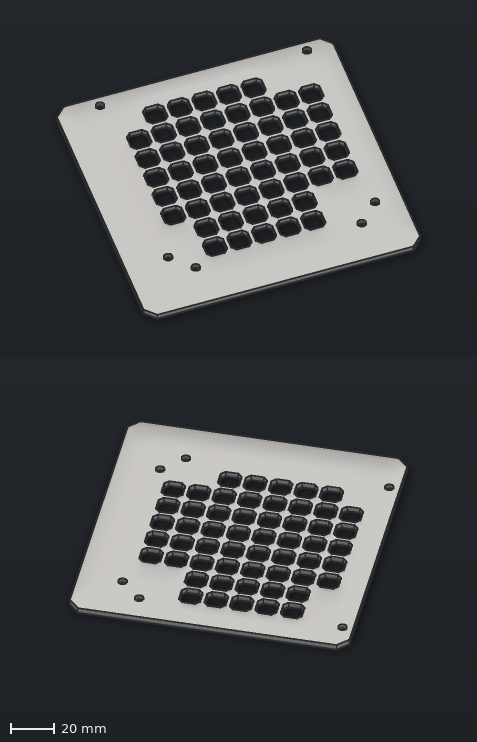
import cadquery as cq

width = 132.0
length = 135.0
thickness = 3.0
corner_chamfer = 5.0

window_size = 10.0
window_corner_chamfer = 2.0
cells_per_side = 8
grid_span = 84.0
pitch = grid_span / (cells_per_side - 1)
grid_center_x = -pitch / 2
grid_center_y = pitch / 2
full_rows = range(1, 6)
short_row_columns = range(1, 6)

hole_diameter = 4.0
hole_center_y = 4.0
outer_spacing = 101.0
inner_spacing = 81.0
left_hole_x = -width / 2 + corner_chamfer
right_hole_x = 35.0
inner_hole_x = 45.0
hole_pairs = [
    (left_hole_x, outer_spacing),
    (right_hole_x, outer_spacing),
    (inner_hole_x, inner_spacing),
]


def make_plate():
    """Flat plate on Z = 0 with its four upright corners cut off."""
    plate = cq.Workplane("XY").box(width, length, thickness, centered=(True, True, False))
    return plate.edges("|Z").chamfer(corner_chamfer)


def window_centers():
    """Centres of the windows; rows outside full_rows lack their end columns."""
    first_x = grid_center_x - grid_span / 2
    first_y = grid_center_y - grid_span / 2
    centers = []
    for row in range(cells_per_side):
        columns = range(cells_per_side) if row in full_rows else short_row_columns
        for column in columns:
            centers.append((first_x + column * pitch, first_y + row * pitch))
    return centers


def make_windows():
    """Cutters for all the windows, through the full thickness."""
    windows = cq.Workplane("XY").pushPoints(window_centers())
    windows = windows.rect(window_size, window_size).extrude(thickness)
    return windows.edges("|Z").chamfer(window_corner_chamfer)


def make_screw_holes():
    """Cutters for the screw holes, through the full thickness."""
    centers = []
    for x, spacing in hole_pairs:
        for side in (-1, 1):
            centers.append((x, hole_center_y + side * spacing / 2))
    return cq.Workplane("XY").pushPoints(centers).circle(hole_diameter / 2).extrude(thickness)


result = make_plate().cut(make_windows()).cut(make_screw_holes())